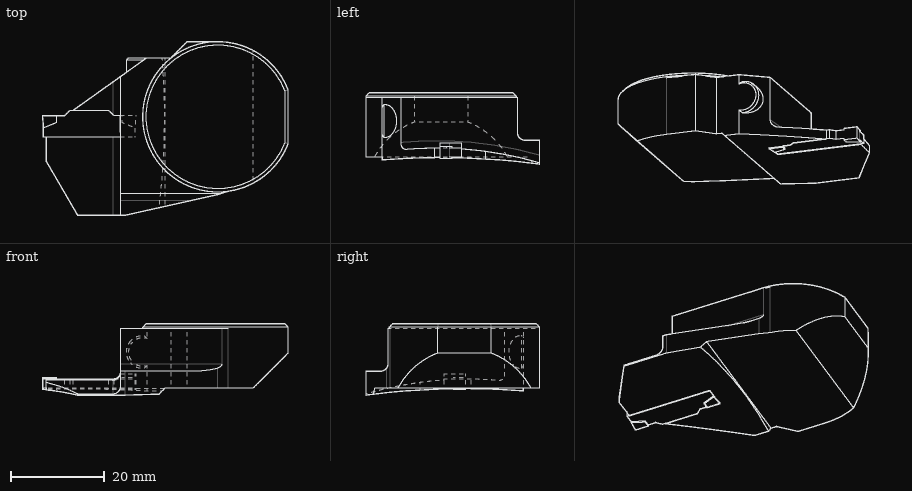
import cadquery as cq
import math


disc_radius = 16.0
disc_flat_x = 14.95
disc_top = 13.7
disc_chamfer = 0.75
under_bevel = 7.5

block_top = 12.7
wall_x = -20.75
back_y = 12.55
lug_x = -6.55
slant_x = -15.15
slant_slope = 0.713

ledge_wall_y = -16.3
ledge_z = 3.6
wall_fillet = 1.55

blade_front_y = -21.0
blade_nose_x = -36.55
nose_y = -9.5
blade_corner_x = -29.85
front_corner_x = -19.8
taper_end = (-0.1, -16.6)
disc_join_x = 2.15
blade_top_radius = 78.0
blade_top_z = 1.95
blade_top_y = 0.95
blade_under_radius = 157.05
blade_under_z = -0.1
step_x = -11.25
lowest_z = -2.6

screw_x = -15.95
screw_z = 7.7
screw_radius = 3.5
screw_length = 6.3
screw_chamfer = 0.45

insert_middle_x = -27.4
insert_half_length = 9.8
insert_end_y = 0.25
insert_mid_y = 1.35
insert_low_y = -4.35
raised_half_length = 4.15
insert_thickness = 1.95
tip_overhang = 0.2
tip_proud = 0.3
tip_length = 3.05
tip_back_depth = 1.45
tip_front_depth = 2.6
tip_relief = 0.25
slot_top = 3.0

reach = 62.8


def disc(height):
    flat_cut = cq.Workplane("XY").box(reach, reach, reach).translate((disc_flat_x - reach / 2, 0, 0))
    return cq.Workplane("XY").circle(disc_radius).extrude(height).intersect(flat_cut)


def outline_stock():
    """Plan outline of blade, block and lug, up to the block top."""
    slant_nose_y = back_y - slant_slope * (slant_x - blade_nose_x)
    lug_drop = disc_radius - back_y
    disc_join = (disc_join_x, -math.sqrt(disc_radius**2 - disc_join_x**2))
    points = [
        (blade_corner_x, blade_front_y),
        (front_corner_x, blade_front_y),
        taper_end,
        disc_join,
        (0, 0),
        (0, disc_radius),
        (lug_x, disc_radius),
        (lug_x - lug_drop, back_y),
        (slant_x, back_y),
        (blade_nose_x, slant_nose_y),
        (blade_nose_x, nose_y),
    ]
    stock = cq.Workplane("XY").workplane(offset=lowest_z).polyline(points).close()
    return stock.extrude(block_top - lowest_z)


def ledge_cut():
    """Space in front of the block, with a rounded inner corner."""
    profile = (
        cq.Workplane("YZ", origin=(-reach, 0, 0))
        .moveTo(ledge_wall_y, reach)
        .lineTo(ledge_wall_y, ledge_z + wall_fillet)
        .radiusArc((ledge_wall_y - wall_fillet, ledge_z), wall_fillet)
        .lineTo(-reach, ledge_z)
        .lineTo(-reach, reach)
        .close()
    )
    return profile.extrude(2 * reach)


def blade_top_cut():
    """Space above the arched blade, turned about the arch axis, with a rounded corner at the wall."""
    profile = (
        cq.Workplane("XZ", origin=(0, blade_top_y, blade_top_z - blade_top_radius))
        .moveTo(-reach, blade_top_radius)
        .lineTo(wall_x - wall_fillet, blade_top_radius)
        .radiusArc((wall_x, blade_top_radius + wall_fillet), -wall_fillet)
        .lineTo(wall_x, blade_top_radius + reach)
        .lineTo(-reach, blade_top_radius + reach)
        .close()
    )
    return profile.revolve(360, (0, 0, 0), (1, 0, 0))


def blade_under_cut():
    axis_z = blade_under_z - blade_under_radius
    return cq.Workplane("YZ", origin=(-reach, 0, axis_z)).circle(blade_under_radius).extrude(2 * reach)


def step_cut():
    """Space under the flat underside, ending at the 45 degree step."""
    points = [(step_x, 0), (step_x + 2 * lowest_z, 2 * lowest_z), (reach, 2 * lowest_z), (reach, 0)]
    return cq.Workplane("XZ").polyline(points).close().extrude(reach, both=True)


def under_bevel_cut():
    points = [(disc_flat_x - under_bevel, 0), (disc_flat_x, under_bevel), (disc_flat_x, 0)]
    return cq.Workplane("XZ").polyline(points).close().extrude(reach, both=True)


def screw_head():
    screw = cq.Workplane("XZ", origin=(screw_x, back_y, screw_z)).circle(screw_radius).extrude(screw_length)
    return screw.faces(">Y").chamfer(screw_chamfer)


def insert_outline(bottom_z):
    """Insert side profile in plan: a raised middle with 45 degree shoulders."""
    shoulder = insert_mid_y - insert_end_y
    points = [
        (-insert_half_length, insert_low_y),
        (insert_half_length, insert_low_y),
        (insert_half_length, insert_end_y),
        (raised_half_length + shoulder, insert_end_y),
        (raised_half_length, insert_mid_y),
        (-raised_half_length, insert_mid_y),
        (-raised_half_length - shoulder, insert_end_y),
        (-insert_half_length, insert_end_y),
    ]
    return cq.Workplane("XY", origin=(insert_middle_x, 0, bottom_z)).polyline(points).close()


def tip_outline(bottom_z):
    """Cutting tip at the -X end in plan."""
    edge_x = -insert_half_length - tip_overhang
    back_x = edge_x + tip_length
    points = [
        (edge_x, insert_end_y),
        (edge_x + tip_relief, insert_end_y - tip_front_depth),
        (back_x, insert_end_y - tip_back_depth),
        (back_x, insert_end_y),
    ]
    return cq.Workplane("XY", origin=(insert_middle_x, 0, bottom_z)).polyline(points).close()


def with_two_tips(body, near_tip):
    """Body joined with a tip at each end; the tips mirror each other about the insert middle."""
    far_tip = near_tip.mirror("YZ", (insert_middle_x, 0, 0))
    return body.union(near_tip).union(far_tip)


def make_insert():
    body = insert_outline(0).extrude(insert_thickness)
    tip = tip_outline(-tip_proud).extrude(insert_thickness + 2 * tip_proud)
    return with_two_tips(body, tip)


def insert_slot():
    """Slot with the insert's plan shape, open below, running in under the block."""
    depth = slot_top - lowest_z
    return with_two_tips(insert_outline(lowest_z).extrude(depth), tip_outline(lowest_z).extrude(depth))


def make_holder():
    coupling = disc(disc_top).faces(">Z").chamfer(disc_chamfer)
    block = outline_stock().cut(ledge_cut()).cut(blade_top_cut())
    block = block.cut(blade_under_cut()).cut(step_cut())
    holder = block.union(coupling).cut(under_bevel_cut()).union(screw_head())
    return holder.cut(insert_slot())


insert = make_insert()
holder = make_holder()

result = cq.Compound.makeCompound([holder.solids().val(), insert.solids().val()])